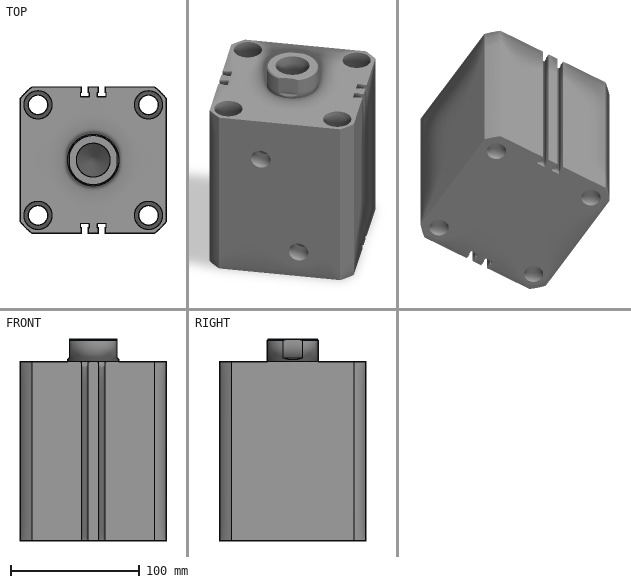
import cadquery as cq
import math

TOTAL_HEIGHT = 157
BODY_WIDTH = 114.0
BODY_HEIGHT = 139.5
CORNER_RADIUS = 74.4

MOUNT_SPACING = 86.0
MOUNT_HOLE_DIAMETER = 15.0
MOUNT_BORE_DIAMETER = 22
MOUNT_BORE_DEPTH = 15.0

SLOT_OFFSET = 6.6
SLOT_NECK_WIDTH = 5.3
SLOT_BASE_WIDTH = 6.6
SLOT_NECK_DEPTH = 4.4
SLOT_DEPTH = 7.5

PORT_DIAMETER = 14.3
PORT_MOUTH_DIAMETER = 15.5
PORT_TAPER_LENGTH = 8.2
PORT_DEPTH = 18.8
PORT_OFFSET = 14.9
LOWER_PORT_HEIGHT = 22.3
UPPER_PORT_HEIGHT = 104.9

ROD_DIAMETER = 40.0
ROD_SEAT_DEPTH = 69.1
ROD_TIP_CHAMFER = 1.0
ROD_FLATS_WIDTH = 37.0
ROD_FLATS_CLEARANCE = 3.0
ROD_BORE_DIAMETER = 26.4
ROD_BORE_DEPTH = 40.0
DRILL_POINT_ANGLE = 120

HALF_WIDTH = BODY_WIDTH / 2
ROD_RADIUS = ROD_DIAMETER / 2
ROD_BASE = BODY_HEIGHT - ROD_SEAT_DEPTH


def body_blank():
    """Square block whose vertical corners are trimmed to a large round."""
    block = cq.Workplane("XY").rect(BODY_WIDTH, BODY_WIDTH).extrude(BODY_HEIGHT)
    corner_round = cq.Workplane("XY").circle(CORNER_RADIUS).extrude(BODY_HEIGHT)
    return block.intersect(corner_round)


def sensor_slot(x, side):
    """Full-height T-slot at x, opening through the face on the given side of Y (-1 or +1)."""
    neck_center = side * (HALF_WIDTH - SLOT_NECK_DEPTH / 2)
    base_center = side * (HALF_WIDTH - (SLOT_NECK_DEPTH + SLOT_DEPTH) / 2)
    neck = (
        cq.Workplane("XY")
        .center(x, neck_center)
        .rect(SLOT_NECK_WIDTH, SLOT_NECK_DEPTH)
        .extrude(BODY_HEIGHT)
    )
    base = (
        cq.Workplane("XY")
        .center(x, base_center)
        .rect(SLOT_BASE_WIDTH, SLOT_DEPTH - SLOT_NECK_DEPTH)
        .extrude(BODY_HEIGHT)
    )
    return neck.union(base)


def air_port(y, z):
    """Blind port running in +X from the -X face, tapered at its mouth and straight beyond."""
    profile = [
        (0, 0),
        (PORT_MOUTH_DIAMETER / 2, 0),
        (PORT_DIAMETER / 2, PORT_TAPER_LENGTH),
        (PORT_DIAMETER / 2, PORT_DEPTH),
        (0, PORT_DEPTH),
    ]
    port_plane = cq.Plane(origin=(-HALF_WIDTH, y, z), xDir=(0, 1, 0), normal=(0, 0, -1))
    return cq.Workplane(port_plane).polyline(profile).close().revolve(360, (0, 0), (0, 1))


def make_body():
    """Cylinder body with its mounting holes, sensor slots, air ports and rod seat."""
    body = body_blank()

    body = (
        body.faces(">Z")
        .workplane()
        .rect(MOUNT_SPACING, MOUNT_SPACING, forConstruction=True)
        .vertices()
        .cboreHole(MOUNT_HOLE_DIAMETER, MOUNT_BORE_DIAMETER, MOUNT_BORE_DEPTH)
    )

    for side in (-1, 1):
        for x in (-SLOT_OFFSET, SLOT_OFFSET):
            body = body.cut(sensor_slot(x, side))

    body = body.cut(air_port(-PORT_OFFSET, LOWER_PORT_HEIGHT))
    body = body.cut(air_port(PORT_OFFSET, UPPER_PORT_HEIGHT))

    rod_seat = cq.Workplane("XY").workplane(offset=ROD_BASE).circle(ROD_RADIUS).extrude(ROD_SEAT_DEPTH)
    return body.cut(rod_seat)


def rod_flat_cutter():
    """Material removed for the +X wrench flat; its lower end slopes down outwards at 45 degrees."""
    flat_x = ROD_FLATS_WIDTH / 2
    flat_bottom = BODY_HEIGHT + ROD_FLATS_CLEARANCE
    flat_depth = ROD_RADIUS - flat_x
    profile = [
        (flat_x, TOTAL_HEIGHT),
        (flat_x, flat_bottom),
        (ROD_RADIUS, flat_bottom - flat_depth),
        (ROD_RADIUS, TOTAL_HEIGHT),
    ]
    return cq.Workplane("XZ").polyline(profile).close().extrude(ROD_RADIUS, both=True)


def rod_bore_cutter():
    """Blind bore from the rod tip, ending in a conical drill point."""
    bore_radius = ROD_BORE_DIAMETER / 2
    cone_height = bore_radius / math.tan(math.radians(DRILL_POINT_ANGLE / 2))
    bore_bottom = TOTAL_HEIGHT - ROD_BORE_DEPTH
    profile = [
        (0, TOTAL_HEIGHT),
        (bore_radius, TOTAL_HEIGHT),
        (bore_radius, bore_bottom),
        (0, bore_bottom - cone_height),
    ]
    return cq.Workplane("XZ").polyline(profile).close().revolve(360, (0, 0), (0, 1))


def make_rod():
    """Piston rod with a chamfered tip, two wrench flats and a blind bore."""
    rod = (
        cq.Workplane("XY")
        .workplane(offset=ROD_BASE)
        .circle(ROD_RADIUS)
        .extrude(TOTAL_HEIGHT - ROD_BASE)
        .faces(">Z")
        .chamfer(ROD_TIP_CHAMFER)
    )
    flat = rod_flat_cutter()
    rod = rod.cut(flat).cut(flat.mirror("YZ"))
    return rod.cut(rod_bore_cutter())


body = make_body()
rod = make_rod()

result = cq.Compound.makeCompound([body.val(), rod.val()])